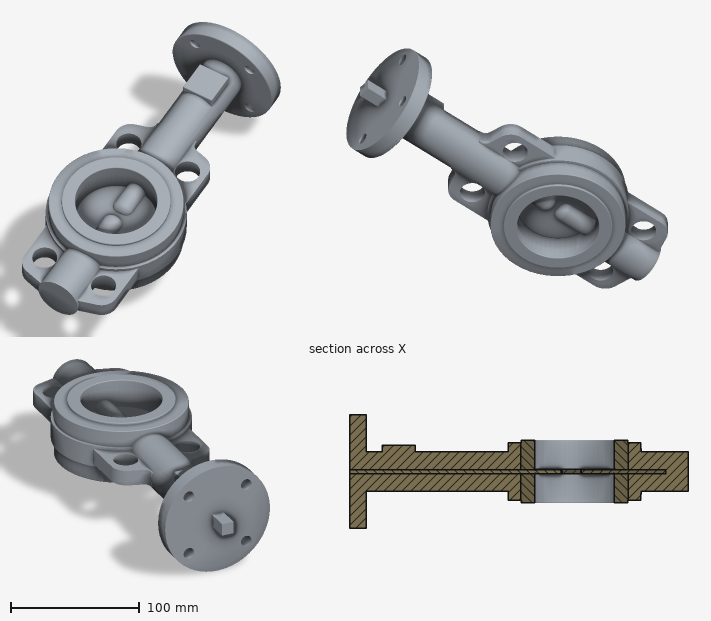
import cadquery as cq
import math


OVERALL_LENGTH = 282.5

RING_RADIUS = 52.5
RING_HALF_HEIGHT = 22.5
BAND_RADIUS = 110.0 / 2
BAND_HALF_HEIGHT = 9.0
RING_EDGE_FILLET = 0.7

NECK_RADIUS = 17.8
BOTTOM_END = -88.7
FLANGE_RADIUS = 90.0 / 2
FLANGE_THICKNESS = 13.5
FLANGE_TOP = 175.0
FLANGE_EDGE_FILLET = 0.8
FLANGE_HOLE_COUNT = 4
FLANGE_FIRST_HOLE_ANGLE = 45
FLANGE_HOLE_DIAMETER = 9.0
FLANGE_HOLE_CIRCLE_DIAMETER = 69.8

EAR_HALF_WIDTH = 82.7 / 2
EAR_THICKNESS = 12.7
EAR_SLOPE_DEGREES = 16
EAR_NECK_Y = 86.7
EAR_CORNER_RADIUS = 13.3
EAR_NECK_FILLET = 6.0
EAR_HOLE_DIAMETER = 19.5
EAR_HOLE_X = 26.5
EAR_HOLE_Y = 64.0

PLATE_SIDE = 26.0
PLATE_CENTRE_Y = 136.7
PLATE_TOP = 20.5
PLATE_EDGE_FILLET = 0.7

SEAT_RADIUS = 42.5
SEAT_HALF_HEIGHT = 24.5
SEAT_BORE_RADIUS = 32.0
SEAT_EDGE_FILLET = 0.7

DISC_RADIUS = SEAT_BORE_RADIUS
DISC_THICKNESS = 4.0
DISC_EDGE_FILLET = 1.5

STEM_RADIUS = 17.2 / 2
STEM_END_FILLET = 6.0
UPPER_STEM_INNER_END = 5.0
LOWER_STEM_INNER_END = 0.0
LOWER_STEM_OUTER_END = -70.5
SQUARE_SIDE = 10.0
SQUARE_LENGTH = OVERALL_LENGTH + BOTTOM_END - FLANGE_TOP


def rod_along_y(radius, y_start, y_end):
    """Solid cylinder on the Y axis between two Y positions, y_start being the lower one."""
    return cq.Workplane("XZ", origin=(0, y_start, 0)).circle(radius).extrude(y_start - y_end)


def disc_about_z(radius, half_height):
    """Solid cylinder on the Z axis, centred on the origin."""
    return cq.Workplane("XY", origin=(0, 0, -half_height)).circle(radius).extrude(2 * half_height)


def ear_plane():
    """Work plane on the lower face of the ears."""
    return cq.Workplane("XY", origin=(0, 0, -EAR_THICKNESS / 2))


def make_ears(direction, has_neck_fillet):
    """Pair of ears on one end of the ring: direction is +1 toward the flange, -1 away from it."""
    corner_drop = (EAR_HALF_WIDTH - NECK_RADIUS) * math.tan(math.radians(EAR_SLOPE_DEGREES))
    corner_y = EAR_NECK_Y - corner_drop
    right_side = [(EAR_HALF_WIDTH, 0), (EAR_HALF_WIDTH, corner_y), (NECK_RADIUS, EAR_NECK_Y)]
    if has_neck_fillet:
        right_side.append((NECK_RADIUS, EAR_NECK_Y + EAR_NECK_FILLET))
    left_side = [(-x, y) for x, y in reversed(right_side)]
    outline = [(x, direction * y) for x, y in right_side + left_side]
    ears = ear_plane().polyline(outline).close().extrude(EAR_THICKNESS)

    def upright_edge_at(x, y):
        return ears.edges("|Z").edges(cq.selectors.NearestToPointSelector((x, direction * y, 0)))

    for side in (-1, 1):
        ears = upright_edge_at(side * EAR_HALF_WIDTH, corner_y).fillet(EAR_CORNER_RADIUS)
        if has_neck_fillet:
            ears = upright_edge_at(side * NECK_RADIUS, EAR_NECK_Y).fillet(EAR_NECK_FILLET)
    return ears


def make_flange():
    """Round actuator flange with four bolt holes on the diagonals."""
    flange = rod_along_y(FLANGE_RADIUS, FLANGE_TOP - FLANGE_THICKNESS, FLANGE_TOP)
    flange = flange.edges("<Y").fillet(FLANGE_EDGE_FILLET)
    holes = (
        cq.Workplane("XZ", origin=(0, FLANGE_TOP, 0))
        .polarArray(FLANGE_HOLE_CIRCLE_DIAMETER / 2, FLANGE_FIRST_HOLE_ANGLE, 360, FLANGE_HOLE_COUNT)
        .circle(FLANGE_HOLE_DIAMETER / 2)
        .extrude(FLANGE_THICKNESS)
    )
    return flange.cut(holes)


def make_name_plate():
    """Square block standing on the neck, with softened corners and upper edges."""
    plate = cq.Workplane("XY").center(0, PLATE_CENTRE_Y).rect(PLATE_SIDE, PLATE_SIDE).extrude(PLATE_TOP)
    return plate.edges("|Z or >Z").fillet(PLATE_EDGE_FILLET)


def make_housing(seat_envelope, upper_stem, lower_stem):
    """Valve body: ring, neck, bottom boss, flange, ears and name plate, bored for seat and stems."""
    ring = disc_about_z(RING_RADIUS, RING_HALF_HEIGHT)
    ring = ring.edges("%CIRCLE").fillet(RING_EDGE_FILLET)
    band = disc_about_z(BAND_RADIUS, BAND_HALF_HEIGHT)
    neck = rod_along_y(NECK_RADIUS, BOTTOM_END, FLANGE_TOP)
    ear_holes = (
        ear_plane()
        .rect(2 * EAR_HOLE_X, 2 * EAR_HOLE_Y, forConstruction=True)
        .vertices()
        .circle(EAR_HOLE_DIAMETER / 2)
        .extrude(EAR_THICKNESS)
    )
    ears = make_ears(1, True).union(make_ears(-1, False))
    housing = ring.union(band).union(ears).union(neck).cut(ear_holes)
    housing = housing.union(make_flange()).union(make_name_plate())
    return housing.cut(seat_envelope).cut(upper_stem).cut(lower_stem)


def make_seat_envelope():
    """Plain cylinder that fills the seat pocket of the housing."""
    return disc_about_z(SEAT_RADIUS, SEAT_HALF_HEIGHT)


def make_seat(upper_stem, lower_stem):
    """Sleeve lining the housing, standing slightly proud of both faces."""
    bore = disc_about_z(SEAT_BORE_RADIUS, SEAT_HALF_HEIGHT)
    seat = make_seat_envelope().cut(bore)
    seat = seat.faces("<Z or >Z").edges().fillet(SEAT_EDGE_FILLET)
    return seat.cut(upper_stem).cut(lower_stem)


def make_disc(upper_stem, lower_stem):
    """Closing disc that fills the seat bore, with rounded rims, slotted where the two stems enter it."""
    disc = disc_about_z(DISC_RADIUS, DISC_THICKNESS / 2)
    disc = disc.faces("<Z or >Z").edges().fillet(DISC_EDGE_FILLET)
    return disc.cut(upper_stem).cut(lower_stem)


def make_upper_stem():
    """Driving stem: rounded inner end, square drive end above the flange."""
    stem = rod_along_y(STEM_RADIUS, UPPER_STEM_INNER_END, FLANGE_TOP)
    stem = stem.edges("<Y").fillet(STEM_END_FILLET)
    square = (
        cq.Workplane("XZ", origin=(0, FLANGE_TOP, 0))
        .rect(SQUARE_SIDE, SQUARE_SIDE)
        .extrude(-SQUARE_LENGTH)
    )
    return stem.union(square)


def make_lower_stem():
    """Bearing stem: rounded inner end, blind in the bottom boss."""
    stem = rod_along_y(STEM_RADIUS, LOWER_STEM_OUTER_END, LOWER_STEM_INNER_END)
    return stem.edges(">Y").fillet(STEM_END_FILLET)


upper_stem = make_upper_stem()
lower_stem = make_lower_stem()
seat = make_seat(upper_stem, lower_stem)
disc = make_disc(upper_stem, lower_stem)
housing = make_housing(make_seat_envelope(), upper_stem, lower_stem)

result = cq.Compound.makeCompound(
    [housing.val(), seat.val(), disc.val(), upper_stem.val(), lower_stem.val()]
)